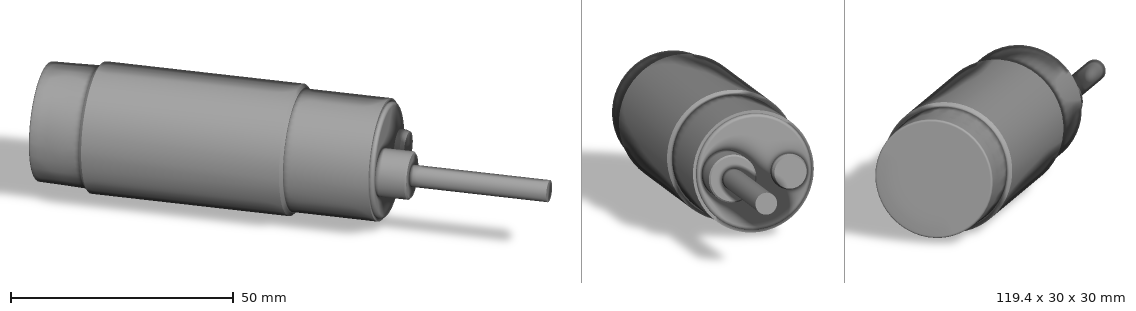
import cadquery as cq

total_length = 119.4

housing_front = 11.8
shoulder_x = 59.5
housing_rear = 79.3
plug_rear = 80.4
gland_rear = 87.5
button_rear = 82.6

cap_front_radius = 13.6
cap_rear_radius = 14.0
cap_edge_fillet = 0.5

housing_radius = 14.98
housing_rear_radius = 14.0
housing_front_chamfer = 0.8
shoulder_chamfer = 0.7

plug_radius = 13.3
plug_fillet = 0.7

cable_y = -6.7
cable_radius = 2.5
gland_radius = 5.5
gland_chamfer = 0.4

button_y = 7.8
button_radius = 4.0
button_chamfer_length = 1.0
button_chamfer_depth = 0.4


def rod(start_x, end_x, radius, center_y=0.0):
    """Solid cylinder parallel to X between two stations."""
    return (
        cq.Workplane("YZ", origin=(start_x, center_y, 0))
        .circle(radius)
        .extrude(end_x - start_x)
    )


def make_cap():
    """Slightly tapered sensing cap with a rounded front rim."""
    profile = [
        (0, 0),
        (0, cap_front_radius),
        (housing_front, cap_rear_radius),
        (housing_front, 0),
    ]
    cap = cq.Workplane("XY").polyline(profile).close().revolve(360, (0, 0, 0), (1, 0, 0))
    return cap.faces("<X").edges().fillet(cap_edge_fillet)


def make_housing():
    """Thick front barrel stepping down to a thinner rear barrel."""
    barrel = rod(housing_front, shoulder_x, housing_radius)
    barrel = barrel.faces("<X").edges().chamfer(housing_front_chamfer)
    barrel = barrel.faces(">X").edges().chamfer(shoulder_chamfer)
    rear = rod(shoulder_x, housing_rear, housing_rear_radius)
    return barrel.union(rear)


def make_end_plug():
    """Disc closing the rear of the housing, with a rounded outer rim."""
    plug = rod(housing_rear, plug_rear, plug_radius)
    return plug.faces(">X").edges().fillet(plug_fillet)


def make_gland():
    """Cable gland on the end plug."""
    gland = rod(plug_rear, gland_rear, gland_radius, cable_y)
    return gland.faces(">X").edges().chamfer(gland_chamfer)


def make_cable():
    """Straight cable leaving the gland."""
    return rod(gland_rear, total_length, cable_radius, cable_y)


def make_button():
    """Round button on the end plug, opposite the gland, with a long shallow chamfer."""
    button = rod(plug_rear, button_rear, button_radius, button_y)
    rim = button.faces(">X").edges()
    return rim.chamfer(button_chamfer_length, button_chamfer_depth)


cap = make_cap()
housing = make_housing()
end_plug = make_end_plug()
gland = make_gland()
cable = make_cable()
button = make_button()

result = cq.Compound.makeCompound([
    cap.val(),
    housing.val(),
    end_plug.val(),
    gland.val(),
    cable.val(),
    button.val(),
])